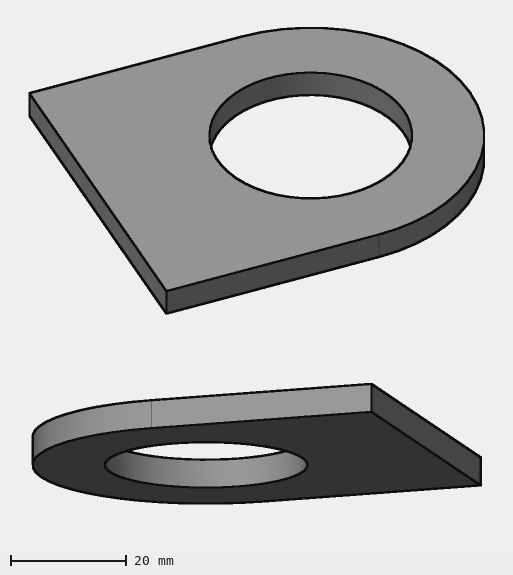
import cadquery as cq

length = 70.0
width = 60.0
thickness = 5.0
hole_diameter = 35.0

end_radius = width / 2
straight_length = length - end_radius

plate = (
    cq.Workplane("XY")
    .moveTo(-end_radius, -straight_length)
    .lineTo(end_radius, -straight_length)
    .lineTo(end_radius, 0)
    .threePointArc((0, end_radius), (-end_radius, 0))
    .close()
    .extrude(thickness)
)

hole = cq.Workplane("XY").circle(hole_diameter / 2).extrude(thickness)

result = plate.cut(hole)